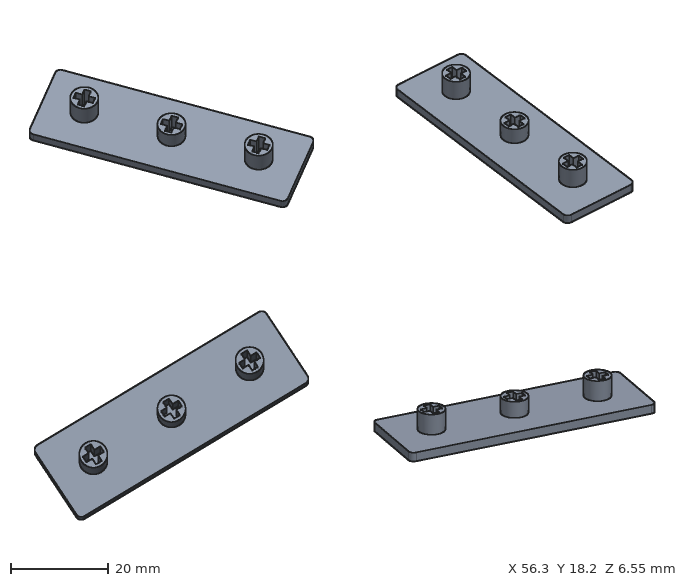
import cadquery as cq

plate_length = 56.3
plate_width = 18.2
plate_thickness = 2.0
corner_radius = 1.2

peg_diameter = 5.8
peg_spacing = 19.05
outer_peg_height = 4.55
middle_peg_height = 3.65

cross_span = 4.2
cross_arm_width = 1.4


def make_plate():
    """Flat plate with rounded vertical corners, resting on Z = 0."""
    plate = cq.Workplane("XY").box(
        plate_length, plate_width, plate_thickness, centered=(True, True, False)
    )
    return plate.edges("|Z").fillet(corner_radius)


def make_peg(x, height):
    """Round peg with a cross socket running its full height."""
    seat = cq.Workplane("XY", origin=(x, 0, plate_thickness))
    peg = seat.circle(peg_diameter / 2).extrude(height)
    arm_along_x = seat.rect(cross_span, cross_arm_width).extrude(height)
    arm_along_y = seat.rect(cross_arm_width, cross_span).extrude(height)
    return peg.cut(arm_along_x).cut(arm_along_y)


result = make_plate()
for x, height in (
    (-peg_spacing, outer_peg_height),
    (0, middle_peg_height),
    (peg_spacing, outer_peg_height),
):
    result = result.union(make_peg(x, height))